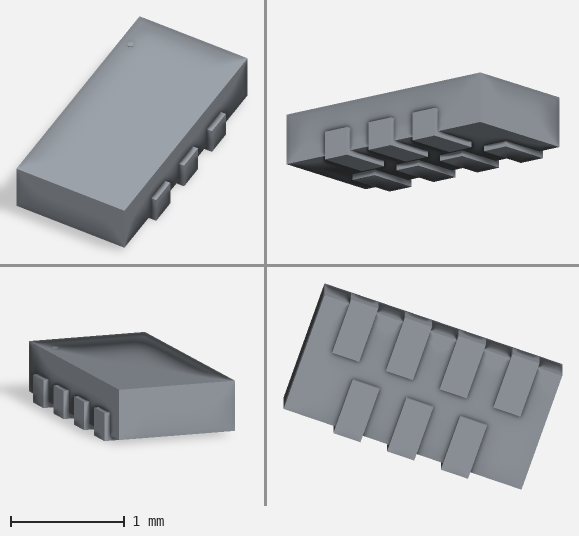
import cadquery as cq

overall_width = 1.19
overall_length = 2.21
overall_height = 0.51

terminal_thickness = 0.05
terminal_width = 0.252
terminal_height = 0.252
foot_length = 0.508
terminal_pitch = 0.5
left_terminal_count = 4
right_terminal_count = 3

marker_diameter = 0.055
marker_thickness = 0.009
marker_inset = 0.108

housing_width = overall_width - 2 * terminal_thickness
housing_top = overall_height - marker_thickness
housing_height = housing_top - terminal_thickness


def row_positions(count):
    """Y centres of a row of terminals, centred on the housing."""
    return [(i - (count - 1) / 2) * terminal_pitch for i in range(count)]


def make_housing():
    return (
        cq.Workplane("XY")
        .workplane(offset=terminal_thickness)
        .rect(housing_width, overall_length)
        .extrude(housing_height)
    )


def make_terminal(side, y_center):
    """L-shaped terminal; side is -1 for the left wall and +1 for the right wall."""
    outer_x = side * overall_width / 2
    wall_x = side * housing_width / 2
    foot_end_x = side * (overall_width / 2 - foot_length)
    profile = [
        (outer_x, 0),
        (outer_x, terminal_height),
        (wall_x, terminal_height),
        (wall_x, terminal_thickness),
        (foot_end_x, terminal_thickness),
        (foot_end_x, 0),
    ]
    return (
        cq.Workplane("XZ", origin=(0, y_center, 0))
        .polyline(profile)
        .close()
        .extrude(terminal_width / 2, both=True)
    )


def make_marker():
    """Disc in line with the rearmost left terminal."""
    marker_x = marker_inset - housing_width / 2
    marker_y = max(row_positions(left_terminal_count))
    return (
        cq.Workplane("XY", origin=(marker_x, marker_y, housing_top))
        .circle(marker_diameter / 2)
        .extrude(marker_thickness)
    )


housing = make_housing()
marker = make_marker()
terminals = []
for side, count in [(-1, left_terminal_count), (1, right_terminal_count)]:
    for y_center in row_positions(count):
        terminals.append(make_terminal(side, y_center).val())

result = cq.Compound.makeCompound([housing.val(), marker.val(), *terminals])